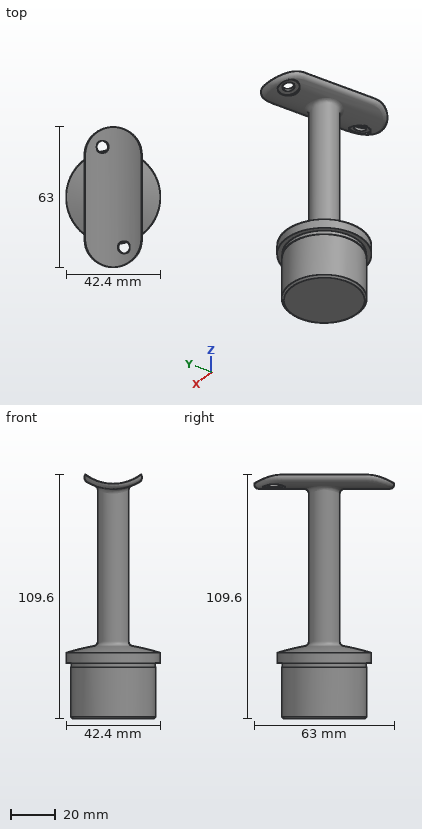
import cadquery as cq
import math

SPIGOT_RADIUS = 19.1
SPIGOT_HEIGHT = 25.0
SPIGOT_CHAMFER = 1.0
NECK_RADIUS = 18.9
NECK_HEIGHT = 2.0
COLLAR_RADIUS = 21.2
COLLAR_HEIGHT = 4.6
DOME_RISE = 3.05
DOME_PROFILE_RADIUS = 100.0

STEM_RADIUS = 7.0
STEM_FILLET = 2.0

RAIL_RADIUS = 21.2
SADDLE_FLOOR_Z = 105.5
SADDLE_THICKNESS = 2.5
SADDLE_LENGTH = 63.0
SADDLE_WIDTH = 25.0
SADDLE_EDGE_FILLET = 2.35

SCREW_HOLE_RADIUS = 2.75
COUNTERBORE_RADIUS = 5.0
COUNTERBORE_DEPTH = 1.0
SCREW_Y = 22.5
SCREW_X = 4.75

COLLAR_TOP_Z = SPIGOT_HEIGHT + COLLAR_HEIGHT
DOME_TOP_Z = COLLAR_TOP_Z + DOME_RISE
RAIL_AXIS_Z = SADDLE_FLOOR_Z + RAIL_RADIUS
SADDLE_OUTER_RADIUS = RAIL_RADIUS + SADDLE_THICKNESS


def make_turned_body():
    """Spigot, neck, domed collar and stem; the stem runs up to the rail axis."""
    neck_bottom = SPIGOT_HEIGHT - NECK_HEIGHT
    dome_inner = STEM_RADIUS + STEM_FILLET
    return (
        cq.Workplane("XZ")
        .lineTo(SPIGOT_RADIUS - SPIGOT_CHAMFER, 0)
        .lineTo(SPIGOT_RADIUS, SPIGOT_CHAMFER)
        .lineTo(SPIGOT_RADIUS, neck_bottom)
        .lineTo(NECK_RADIUS, neck_bottom)
        .lineTo(NECK_RADIUS, SPIGOT_HEIGHT)
        .lineTo(COLLAR_RADIUS, SPIGOT_HEIGHT)
        .lineTo(COLLAR_RADIUS, COLLAR_TOP_Z)
        .radiusArc((dome_inner, DOME_TOP_Z), -DOME_PROFILE_RADIUS)
        .radiusArc((STEM_RADIUS, DOME_TOP_Z + STEM_FILLET), STEM_FILLET)
        .lineTo(STEM_RADIUS, RAIL_AXIS_Z)
        .lineTo(0, RAIL_AXIS_Z)
        .close()
        .revolve(360, (0, 0, 0), (0, 1, 0))
    )


def saddle_outline(depth):
    """Outline wire of the saddle at a depth below the rail axis.

    Every wall line runs through the rail axis, so x grows with depth. The walls
    meet the rail surface in straight sides closed by half circles, as seen from above.
    """
    end_radius = SADDLE_WIDTH / 2
    end_centre_y = SADDLE_LENGTH / 2 - end_radius
    points_per_end = 9

    def end_point(angle, side):
        x = end_radius * math.cos(angle)
        y = end_centre_y + end_radius * math.sin(angle)
        spread = depth / math.sqrt(RAIL_RADIUS**2 - x**2)
        return cq.Vector(side * x * spread, side * y, RAIL_AXIS_Z - depth)

    angles = [math.pi * i / (points_per_end - 1) for i in range(points_per_end)]
    along_y = cq.Vector(0, end_radius, 0)
    far_end, near_end = (
        cq.Edge.makeSpline(
            [end_point(a, side) for a in angles],
            tangents=[along_y * side, along_y * -side],
            parameters=angles,
            scale=False,
        )
        for side in (1, -1)
    )
    left_side = cq.Edge.makeLine(far_end.endPoint(), near_end.startPoint())
    right_side = cq.Edge.makeLine(near_end.endPoint(), far_end.startPoint())
    return cq.Wire.assembleEdges([far_end, left_side, near_end, right_side])


def rail_cylinder(radius):
    """Cylinder about the rail axis, longer than the saddle."""
    return (
        cq.Workplane("XZ", origin=(0, 0, RAIL_AXIS_Z))
        .circle(radius)
        .extrude(SADDLE_LENGTH, both=True)
    )


def make_saddle():
    """Bent plate with radial walls and a rounded lower edge."""
    upper_depth = RAIL_RADIUS / 2
    lower_depth = SADDLE_OUTER_RADIUS + SADDLE_THICKNESS
    wedge = cq.Solid.makeLoft([saddle_outline(upper_depth), saddle_outline(lower_depth)], True)
    plate = rail_cylinder(SADDLE_OUTER_RADIUS).intersect(cq.Workplane(wedge))
    plate = plate.cut(rail_cylinder(RAIL_RADIUS))
    lowest_point = (0, 0, SADDLE_FLOOR_Z - SADDLE_THICKNESS)
    lower_face = plate.faces(cq.selectors.NearestToPointSelector(lowest_point))
    return lower_face.edges().fillet(SADDLE_EDGE_FILLET)


def make_screw_cutter(x, y):
    """Counterbored hole on a radius of the rail, with the counterbore in the lower face."""
    outward = cq.Vector(x, 0, -math.sqrt(RAIL_RADIUS**2 - x**2)).normalized()
    axis_point = cq.Vector(0, y, RAIL_AXIS_Z)
    end_distance = SADDLE_OUTER_RADIUS + SADDLE_THICKNESS
    floor_distance = SADDLE_OUTER_RADIUS - COUNTERBORE_DEPTH
    hole = cq.Solid.makeCylinder(SCREW_HOLE_RADIUS, end_distance, axis_point, outward)
    counterbore = cq.Solid.makeCylinder(
        COUNTERBORE_RADIUS,
        end_distance - floor_distance,
        axis_point + outward * floor_distance,
        outward,
    )
    return cq.Workplane(hole).union(cq.Workplane(counterbore))


def fillet_stem_to_saddle(body):
    """Round the joint where the stem meets the lower face of the saddle."""
    reach = STEM_RADIUS + STEM_FILLET
    joint_box = cq.selectors.BoxSelector(
        (-reach, -reach, SADDLE_FLOOR_Z - 2 * SADDLE_THICKNESS),
        (reach, reach, RAIL_AXIS_Z),
        boundingbox=True,
    )
    return body.edges(joint_box).edges("not |Z").fillet(STEM_FILLET)


upright = make_turned_body().cut(rail_cylinder(RAIL_RADIUS + SADDLE_THICKNESS / 2))
result = fillet_stem_to_saddle(upright.union(make_saddle()))
for side in (1, -1):
    result = result.cut(make_screw_cutter(-side * SCREW_X, side * SCREW_Y))